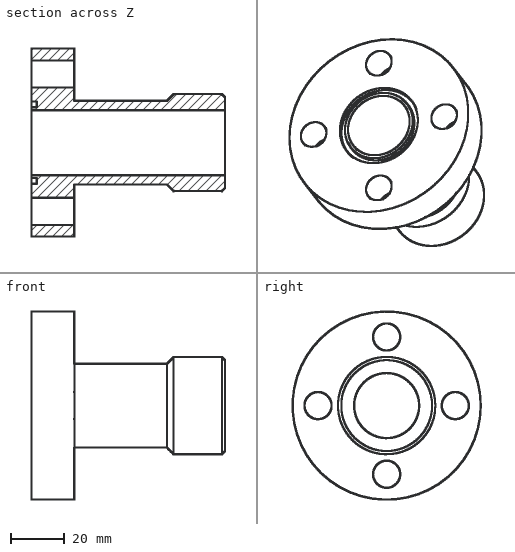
import cadquery as cq

total_length = 72.0
bore_diameter = 24.1

flange_diameter = 70.0
flange_thickness = 16.0

neck_diameter = 31.3

collar_diameter = 36.2
collar_length = 21.6
collar_edge_chamfer = 1.2

bolt_hole_diameter = 10.0
bolt_circle_diameter = 51.0
bolt_count = 4

groove_outer_diameter = 30.5
groove_inner_diameter = 26.5
groove_depth = 2.0

shoulder_height = (collar_diameter - neck_diameter) / 2
collar_start = total_length - collar_length


def cylinder(diameter, start, length):
    """Solid cylinder on the X axis, running from start toward +X."""
    return cq.Workplane("YZ", origin=(start, 0, 0)).circle(diameter / 2).extrude(length)


def make_collar():
    """End collar with a 45 degree shoulder toward the flange and a chamfered free edge."""
    collar = cylinder(collar_diameter, collar_start, collar_length)
    collar = collar.faces("<X").chamfer(shoulder_height)
    return collar.faces(">X").edges().chamfer(collar_edge_chamfer)


def make_bolt_holes():
    """Cutters for the through holes, the first one on the Y axis."""
    return (
        cq.Workplane("YZ")
        .polarArray(bolt_circle_diameter / 2, 0, 360, bolt_count)
        .circle(bolt_hole_diameter / 2)
        .extrude(flange_thickness)
    )


def make_face_groove():
    """Cutter for the ring groove around the bore in the flange face."""
    ring = cylinder(groove_outer_diameter, 0, groove_depth)
    return ring.cut(cylinder(groove_inner_diameter, 0, groove_depth))


flange = cylinder(flange_diameter, 0, flange_thickness)
neck = cylinder(neck_diameter, 0, collar_start)

body = flange.union(neck).union(make_collar())
body = body.cut(cylinder(bore_diameter, 0, total_length))
body = body.cut(make_bolt_holes())
result = body.cut(make_face_groove())